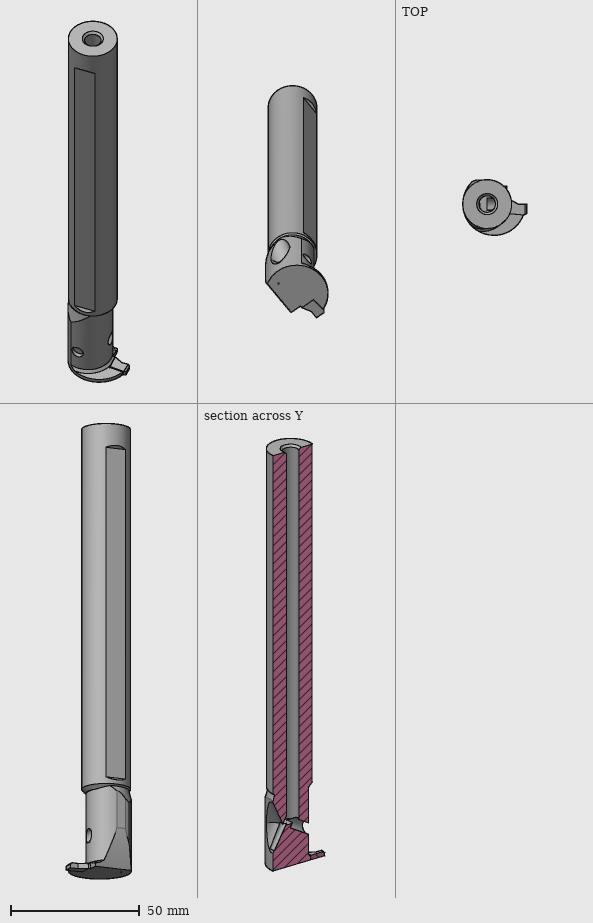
import cadquery as cq
import math

TOTAL_HEIGHT = 177.7
TOTAL_WIDTH = 24.9
SHANK_DIAMETER = 19.0
SHANK_RADIUS = SHANK_DIAMETER / 2
SHANK_BOTTOM = 33.5
SHANK_CHAMFER = 1.6
FLAT_DISTANCE = 8.5
FLAT_BOTTOM = 36.0
FLAT_TOP = 168.1

BORE_RADIUS = 3.2
BORE_MOUTH_RADIUS = 4.0
BORE_END = 18.5

HEAD_BOTTOM = 0.4
SWING_DIAMETER = 24.4
SWING_RADIUS = SWING_DIAMETER / 2
SWING_CENTER_X = SWING_RADIUS - SHANK_RADIUS
FLANGE_TOP = 2.0
NECK_RADIUS = 9.6
NECK_RIGHT = 7.6
NECK_CENTER_X = NECK_RIGHT - NECK_RADIUS
NECK_FOOT = 1.0
CONE_TOP_RADIUS = 8.7
CONE_BOTTOM = 24.9
CONE_ANGLE = 15.0

RELIEF_TOP = 16.0
RELIEF_MIDDLE = (8.4, 7.3)
RELIEF_Y_TOP = 9.5
RELIEF_Y_BOTTOM = 6.4

POCKET_WIDTH = 9.0
POCKET_HEIGHT = 21.7
POCKET_CENTER_Y = -0.7
POCKET_CENTER_Z = 18.8
POCKET_TILT = math.asin(POCKET_WIDTH / POCKET_HEIGHT)

OUTLET_DIAMETER = 4.8
OUTLET_RADIUS = OUTLET_DIAMETER / 2
OUTLET_Z = 14.0
CHANNEL_RADIUS = 1.2
CHANNEL_Y = -0.4
CHANNEL_MOUTH_Z = 9.2
CHANNEL_END_Z = 25.8

SIDE_HOLE_DIAMETER = 4.8
SIDE_HOLE_DEPTH = 1.8
SIDE_HOLE_X = -2.7
SIDE_HOLE_Z = 11.7

INSERT_TOP = 2.5
INSERT_TIP_X = TOTAL_WIDTH - SHANK_RADIUS
INSERT_HEEL_X = 14.4
INSERT_HEEL_Y = -4.3
INSERT_BACK_Y = -3.7
INSERT_CHAMFER = 0.7
RAKE_START_X = 12.0
INSERT_GAP = 0.9
INNER_X = NECK_RIGHT + INSERT_GAP
SLOPE_Y = 2.0

PIP_RADIUS = 0.2
PIP_CENTER = (-5.2, 2.8)


def cylinder(radius, bottom, top, center=(0, 0)):
    return cq.Workplane("XY", origin=(*center, bottom)).circle(radius).extrude(top - bottom)


def frustum(bottom_radius, top_radius, bottom, top, center=(0, 0)):
    cone = cq.Solid.makeCone(bottom_radius, top_radius, top - bottom, cq.Vector(*center, bottom))
    return cq.Workplane("XY").add(cone)


def make_shank():
    shank = cylinder(SHANK_RADIUS, SHANK_BOTTOM, TOTAL_HEIGHT)
    collar = frustum(
        SHANK_RADIUS - SHANK_CHAMFER, SHANK_RADIUS, SHANK_BOTTOM - SHANK_CHAMFER, SHANK_BOTTOM
    )
    depth = SHANK_RADIUS - FLAT_DISTANCE
    for side in (1, -1):
        flat = (
            cq.Workplane("YZ", origin=(-SHANK_RADIUS, 0, 0))
            .moveTo(side * FLAT_DISTANCE, FLAT_BOTTOM)
            .lineTo(side * SHANK_RADIUS, FLAT_BOTTOM - depth)
            .lineTo(side * SHANK_RADIUS, FLAT_TOP + depth)
            .lineTo(side * FLAT_DISTANCE, FLAT_TOP)
            .close()
            .extrude(2 * SHANK_RADIUS)
        )
        shank = shank.cut(flat)
    return shank.union(collar)


def make_head():
    swing_center = (SWING_CENTER_X, 0)
    neck_center = (NECK_CENTER_X, 0)
    neck = cylinder(NECK_RADIUS, HEAD_BOTTOM, SHANK_BOTTOM, neck_center)
    foot = frustum(NECK_RADIUS + NECK_FOOT, NECK_RADIUS, FLANGE_TOP, FLANGE_TOP + NECK_FOOT, neck_center)
    swing = cylinder(SWING_RADIUS, HEAD_BOTTOM, SHANK_BOTTOM, swing_center)
    flange = cylinder(SWING_RADIUS, HEAD_BOTTOM, FLANGE_TOP, swing_center)
    cone_height = SHANK_BOTTOM - CONE_BOTTOM
    cone_growth = cone_height * math.tan(math.radians(CONE_ANGLE))
    envelope = cylinder(2 * SWING_RADIUS, HEAD_BOTTOM, CONE_BOTTOM).union(
        frustum(CONE_TOP_RADIUS + cone_growth, CONE_TOP_RADIUS, CONE_BOTTOM, SHANK_BOTTOM)
    )
    return neck.union(foot).intersect(swing).union(flange).intersect(envelope)


def make_relief():
    outside_y = 2 * SWING_RADIUS
    return (
        cq.Workplane("YZ", origin=(-outside_y, 0, 0))
        .moveTo(RELIEF_Y_BOTTOM, HEAD_BOTTOM)
        .threePointArc(RELIEF_MIDDLE, (RELIEF_Y_TOP, RELIEF_TOP))
        .lineTo(RELIEF_Y_TOP, SHANK_BOTTOM - SHANK_CHAMFER)
        .lineTo(outside_y, SHANK_BOTTOM - SHANK_CHAMFER)
        .lineTo(outside_y, HEAD_BOTTOM)
        .close()
        .extrude(2 * outside_y)
    )


def make_gullet():
    outside = 2 * SWING_RADIUS
    return (
        cq.Workplane("XY", origin=(0, 0, HEAD_BOTTOM))
        .moveTo(NECK_RIGHT, outside)
        .lineTo(NECK_RIGHT, SLOPE_Y)
        .lineTo(INNER_X, SLOPE_Y)
        .lineTo(RAKE_START_X, 0)
        .lineTo(outside, 0)
        .lineTo(outside, outside)
        .close()
        .extrude(SHANK_BOTTOM - SHANK_CHAMFER - HEAD_BOTTOM)
    )


def make_bore():
    mouth_depth = BORE_MOUTH_RADIUS - BORE_RADIUS
    mouth = frustum(BORE_RADIUS, BORE_MOUTH_RADIUS, TOTAL_HEIGHT - mouth_depth, TOTAL_HEIGHT)
    return cylinder(BORE_RADIUS, BORE_END, TOTAL_HEIGHT).union(mouth)


def make_pocket():
    """Two tilted tubes share one oval mouth; their overlap has a rising and a falling wall."""
    mouth = cq.Vector(-SHANK_RADIUS, POCKET_CENTER_Y, POCKET_CENTER_Z)
    tubes = []
    for rise in (1, -1):
        direction = cq.Vector(math.sin(POCKET_TILT), 0, rise * math.cos(POCKET_TILT))
        start = mouth - direction * POCKET_HEIGHT
        tubes.append(cq.Solid.makeCylinder(POCKET_WIDTH / 2, 2 * POCKET_HEIGHT, start, direction))
    return cq.Workplane("XY").add(tubes[0]).intersect(cq.Workplane("XY").add(tubes[1]))


def make_passage(radius, start, end):
    path = end - start
    return cq.Workplane("XY").add(cq.Solid.makeCylinder(radius, path.Length, start, path))


def make_outlet():
    start = cq.Vector(0, 0, BORE_END)
    exit_point = cq.Vector(NECK_RIGHT, 0, OUTLET_Z)
    beyond_exit = exit_point + (exit_point - start)
    return make_passage(OUTLET_RADIUS, start, beyond_exit)


def make_channel():
    start = cq.Vector(-SHANK_RADIUS, CHANNEL_Y, CHANNEL_MOUTH_Z)
    end = cq.Vector(0, CHANNEL_Y, CHANNEL_END_Z)
    return make_passage(CHANNEL_RADIUS, start, end)


def make_side_hole():
    bottom_y = SIDE_HOLE_DEPTH - NECK_RADIUS
    return (
        cq.Workplane("XZ", origin=(SIDE_HOLE_X, bottom_y, SIDE_HOLE_Z))
        .circle(SIDE_HOLE_DIAMETER / 2)
        .extrude(2 * SIDE_HOLE_DEPTH)
    )


def make_insert():
    return (
        cq.Workplane("XY", origin=(0, 0, HEAD_BOTTOM))
        .moveTo(INNER_X, SLOPE_Y)
        .lineTo(RAKE_START_X, 0)
        .lineTo(INSERT_TIP_X, 0)
        .lineTo(INSERT_TIP_X, INSERT_BACK_Y)
        .lineTo(INSERT_HEEL_X, INSERT_HEEL_Y)
        .lineTo(INNER_X, INSERT_BACK_Y)
        .close()
        .extrude(INSERT_TOP - HEAD_BOTTOM)
        .faces(">X").edges(">Z").chamfer(INSERT_CHAMFER)
    )


def make_pip():
    return cylinder(PIP_RADIUS, 0, HEAD_BOTTOM, PIP_CENTER)


insert = make_insert()
holder = make_head().cut(make_relief()).cut(make_gullet()).union(make_shank())
holder = holder.cut(make_bore()).cut(make_pocket())
holder = holder.cut(make_outlet()).cut(make_channel()).cut(make_side_hole())
holder = holder.union(make_pip()).cut(insert)

result = cq.Compound.makeCompound([*holder.vals(), insert.val()])